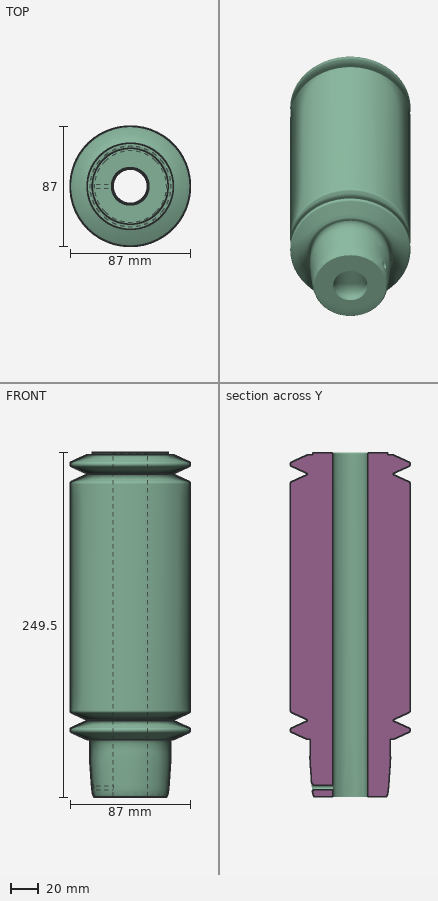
import cadquery as cq
import math

total_height = 249.5
outer_radius = 87.0 / 2

groove_radius = 31.2
rim_edge_radius = 42.7
rim_half_height = 1.62
bevel_height = 5.2
groove_floor_width = 0.5
flange_half_height = rim_half_height + bevel_height

boss_radius = 55.0 / 2
boss_height = 1.7

shank_height = 41.7
shank_radius = 29.2
shank_tip_radius = 26.0
shank_outline = [(27.7, 5.0), (28.5, 15.0), (29.2, 25.0)]

bore_diameter = 25.0
bore_chamfer = 1.0
side_hole_diameter = 3.0
side_hole_mouth_diameter = 5.5
side_hole_height = 7.0
side_hole_surface = 27.7

lower_flange_z = shank_height + flange_half_height
lower_groove_z = lower_flange_z + flange_half_height + groove_floor_width
body_bottom_z = lower_groove_z + bevel_height
upper_flange_z = total_height - boss_height - flange_half_height
upper_groove_z = upper_flange_z - flange_half_height - groove_floor_width
body_top_z = upper_groove_z - bevel_height


def arc_middle(drop, height):
    """Inward and axial offsets of the middle of an arc that leaves the axial direction.

    The arc starts parallel to the axis and ends "drop" further in and "height" further along.
    """
    arc_radius = (height**2 + drop**2) / (2 * drop)
    half_angle = math.asin(height / arc_radius) / 2
    return arc_radius * (1 - math.cos(half_angle)), arc_radius * math.sin(half_angle)


def add_flange(profile, center_z):
    """Continue the profile upward around one flange."""
    return (
        profile.lineTo(groove_radius, center_z - flange_half_height)
        .lineTo(rim_edge_radius, center_z - rim_half_height)
        .threePointArc((outer_radius, center_z), (rim_edge_radius, center_z + rim_half_height))
        .lineTo(groove_radius, center_z + flange_half_height)
    )


def add_body(profile):
    """Continue the profile from the lower groove along the body to the upper groove."""
    drop_mid, height_mid = arc_middle(outer_radius - rim_edge_radius, rim_half_height)
    rim_mid_radius = outer_radius - drop_mid
    lower_edge_z = body_bottom_z + rim_half_height
    upper_edge_z = body_top_z - rim_half_height
    return (
        profile.lineTo(groove_radius, lower_groove_z)
        .lineTo(rim_edge_radius, body_bottom_z)
        .threePointArc((rim_mid_radius, lower_edge_z - height_mid), (outer_radius, lower_edge_z))
        .lineTo(outer_radius, upper_edge_z)
        .threePointArc((rim_mid_radius, upper_edge_z + height_mid), (rim_edge_radius, body_top_z))
        .lineTo(groove_radius, upper_groove_z)
    )


def make_turned_body():
    """Revolve the outer profile, drawn from the shank tip to the top boss."""
    profile = (
        cq.Workplane("XZ")
        .lineTo(shank_tip_radius, 0)
        .spline(
            shank_outline + [(shank_radius, shank_height)],
            tangents=[(1, 1), (0, 1)],
            includeCurrent=True,
        )
    )
    profile = add_flange(profile, lower_flange_z)
    profile = add_body(profile)
    profile = add_flange(profile, upper_flange_z)
    profile = (
        profile.lineTo(boss_radius, total_height - boss_height)
        .lineTo(boss_radius, total_height)
        .lineTo(0, total_height)
        .close()
    )
    return profile.revolve(360, (0, 0, 0), (0, 1, 0))


def cut_bore(body):
    """Axial through bore with a chamfered top mouth."""
    bored = body.faces(">Z").workplane(origin=(0, 0, total_height)).hole(bore_diameter)
    mouth = cq.selectors.RadiusNthSelector(0)
    return bored.faces(">Z").edges(mouth).chamfer(bore_chamfer)


def cut_side_hole(body):
    """Countersunk radial hole from the -X side of the shank into the bore."""
    axis_plane = cq.Workplane("YZ").center(0, side_hole_height)
    hole = axis_plane.circle(side_hole_diameter / 2).extrude(-outer_radius)

    countersink = cq.Solid.makeCone(
        side_hole_mouth_diameter / 2,
        0,
        side_hole_mouth_diameter / 2,
        pnt=cq.Vector(-side_hole_surface, 0, side_hole_height),
        dir=cq.Vector(1, 0, 0),
    )
    mouth = (
        axis_plane.workplane(offset=-side_hole_surface)
        .circle(side_hole_mouth_diameter / 2)
        .extrude(side_hole_surface - outer_radius)
    )
    return body.cut(hole).cut(mouth).cut(cq.Workplane(countersink))


result = cut_side_hole(cut_bore(make_turned_body()))